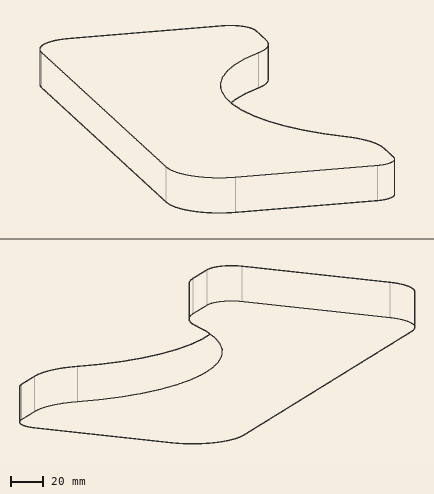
import cadquery as cq
import math

length = 325.01
width = 139.91
thickness = 22.5

back_left_radius = 16.5
back_right_radius = 15.0
front_left_radius = 25.0
front_right_radius = 34.0

scallop_radius = 123.0
scallop_depth = 61.0
scallop_offset = -0.7
left_shoulder_radius = 33.0
right_shoulder_radius = 40.5

half_length = length / 2
back = width / 2
scallop_centre_y = back - scallop_depth + scallop_radius


def shoulder_points(side, radius):
    """Edge end, arc midpoint and scallop end of a shoulder; side is -1 (left) or +1 (right)."""
    centre_y = back - radius
    rise = scallop_centre_y - centre_y
    reach = math.sqrt((scallop_radius + radius) ** 2 - rise**2)
    centre_x = scallop_offset + side * reach
    sweep = math.atan2(reach, rise)

    def on_arc(angle):
        x = centre_x - side * radius * math.sin(angle)
        y = centre_y + radius * math.cos(angle)
        return (x, y)

    return on_arc(0), on_arc(sweep / 2), on_arc(sweep)


def plate_outline():
    """Closed outline with the scallop and its shoulders, corners still sharp."""
    left_edge, left_middle, left_tangent = shoulder_points(-1, left_shoulder_radius)
    right_edge, right_middle, right_tangent = shoulder_points(1, right_shoulder_radius)
    scallop_bottom = (scallop_offset, back - scallop_depth)
    return (
        cq.Workplane("XY")
        .moveTo(-half_length, -back)
        .lineTo(-half_length, back)
        .lineTo(*left_edge)
        .threePointArc(left_middle, left_tangent)
        .threePointArc(scallop_bottom, right_tangent)
        .threePointArc(right_middle, right_edge)
        .lineTo(half_length, back)
        .lineTo(half_length, -back)
        .close()
    )


def round_corner(plate, side_x, side_y, radius):
    """Round the vertical edge at one corner of the plate."""
    corner = (side_x * half_length, side_y * back, thickness / 2)
    return plate.edges(cq.selectors.NearestToPointSelector(corner)).fillet(radius)


plate = plate_outline().extrude(thickness)
plate = round_corner(plate, -1, 1, back_left_radius)
plate = round_corner(plate, 1, 1, back_right_radius)
plate = round_corner(plate, -1, -1, front_left_radius)
result = round_corner(plate, 1, -1, front_right_radius)